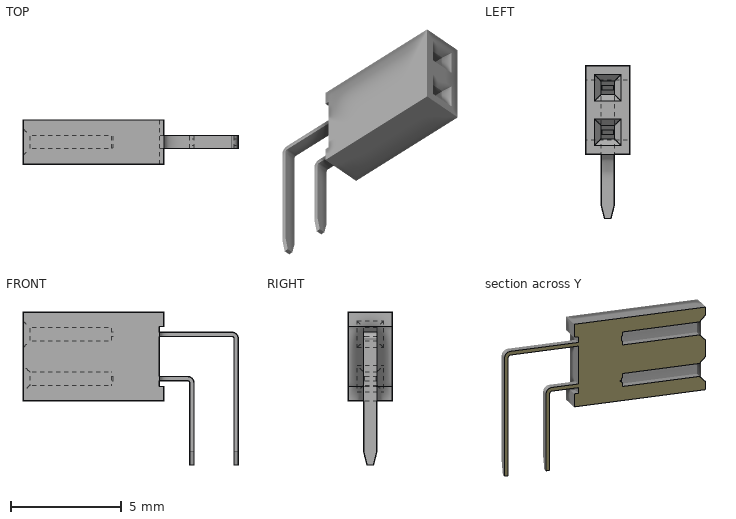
import cadquery as cq


PITCH = 2.0
CONTACT_COUNT = 2
HOUSING_LENGTH = 6.35
HOUSING_WIDTH = 2.0
HOUSING_HEIGHT = PITCH * CONTACT_COUNT

RELIEF_DEPTH = 0.2
FOOT_HEIGHT = 0.65

FUNNEL_MOUTH = 1.2
BORE_SIZE = 0.6
FUNNEL_DEPTH = 0.3
BORE_DEPTH = 4.0

SLOT_END_WIDTH = 0.5
SLOT_DEPTH = (BORE_SIZE - SLOT_END_WIDTH) / 2

PIN_WIDTH = 0.6
PIN_THICKNESS = 0.2
PIN_OUTER_BEND = 0.3
PIN_INNER_BEND = PIN_OUTER_BEND - PIN_THICKNESS
PIN_BOTTOM = -2.9
FIRST_LEG_X = 7.72
TIP_LENGTH = 0.6
TIP_WIDTH = 0.3

REAR_WALL_X = HOUSING_LENGTH - RELIEF_DEPTH


def make_housing():
    """Rectangular housing with a full-width relief between two rear feet."""
    block = cq.Workplane("XY").box(
        HOUSING_LENGTH, HOUSING_WIDTH, HOUSING_HEIGHT, centered=(False, True, False)
    )
    relief = (
        cq.Workplane("XY")
        .box(RELIEF_DEPTH, HOUSING_WIDTH, HOUSING_HEIGHT - 2 * FOOT_HEIGHT, centered=(False, True, False))
        .translate((REAR_WALL_X, 0, FOOT_HEIGHT))
    )
    return block.cut(relief)


def tapered_cavity(start_x, depth, start_size, end_size, z):
    """Cavity running along +X between two (width, height) rectangles."""
    return (
        cq.Workplane("YZ", origin=(start_x, 0, z))
        .rect(*start_size)
        .workplane(offset=depth)
        .rect(*end_size)
        .loft(ruled=True)
    )


def make_opening(z):
    """Square lead-in funnel, square blind bore and the tapered slot in its floor."""
    mouth = (FUNNEL_MOUTH, FUNNEL_MOUTH)
    bore_section = (BORE_SIZE, BORE_SIZE)
    slot_start = (BORE_SIZE, PIN_THICKNESS)
    slot_end = (SLOT_END_WIDTH, PIN_THICKNESS)
    funnel = tapered_cavity(0, FUNNEL_DEPTH, mouth, bore_section, z)
    bore = tapered_cavity(0, BORE_DEPTH, bore_section, bore_section, z)
    slot = tapered_cavity(BORE_DEPTH, SLOT_DEPTH, slot_start, slot_end, z)
    return funnel.union(bore).union(slot)


def make_pin(z, leg_x):
    """Strip leaving the rear wall at height z, bent down to a leg whose outer face is at leg_x."""
    top = z + PIN_THICKNESS / 2
    strip = (
        cq.Workplane("XZ")
        .moveTo(REAR_WALL_X, top)
        .lineTo(leg_x - PIN_OUTER_BEND, top)
        .radiusArc((leg_x, top - PIN_OUTER_BEND), PIN_OUTER_BEND)
        .lineTo(leg_x, PIN_BOTTOM)
        .lineTo(leg_x - PIN_THICKNESS, PIN_BOTTOM)
        .lineTo(leg_x - PIN_THICKNESS, top - PIN_OUTER_BEND)
        .radiusArc((leg_x - PIN_OUTER_BEND, top - PIN_THICKNESS), -PIN_INNER_BEND)
        .lineTo(REAR_WALL_X, top - PIN_THICKNESS)
        .close()
        .extrude(PIN_WIDTH / 2, both=True)
    )
    return strip.intersect(make_pin_envelope(top))


def make_pin_envelope(top):
    """Pin outline across its width: straight sides narrowing to the tip at the lower end."""
    return (
        cq.Workplane("YZ", origin=(REAR_WALL_X, 0, 0))
        .moveTo(-PIN_WIDTH / 2, top)
        .lineTo(-PIN_WIDTH / 2, PIN_BOTTOM + TIP_LENGTH)
        .lineTo(-TIP_WIDTH / 2, PIN_BOTTOM)
        .lineTo(TIP_WIDTH / 2, PIN_BOTTOM)
        .lineTo(PIN_WIDTH / 2, PIN_BOTTOM + TIP_LENGTH)
        .lineTo(PIN_WIDTH / 2, top)
        .close()
        .extrude(FIRST_LEG_X + PITCH * (CONTACT_COUNT - 1) - REAR_WALL_X)
    )


result = make_housing()
for row in range(CONTACT_COUNT):
    row_z = PITCH * (row + 0.5)
    result = result.cut(make_opening(row_z))
    result = result.union(make_pin(row_z, FIRST_LEG_X + PITCH * row))